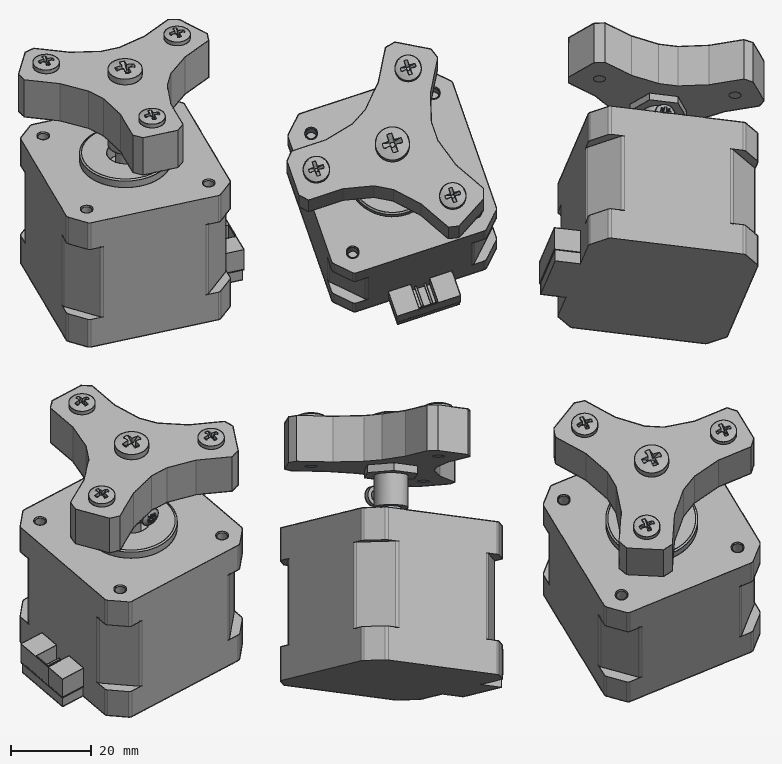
import cadquery as cq
import math


overall_height = 67.6

motor_width = 43.2
motor_height = 38.6
corner_reach = 17.25
relief_reach = 14.0
corner_fillet = 1.15
relief_bottom = 8.6
relief_top = 30.35
pilot_diameter = 22.85
pilot_rim_diameter = 21.85
pilot_top = 40.9
pilot_bevel = 0.3
well_diameter = 9.3
well_depth = 4.05
mount_spacing = 32.2
mount_diameter = 2.65
mount_mouth_diameter = 3.2
mount_depth = 4.05
mount_shift = 0.2
shaft_diameter = 4.95

connector_width = 16.7
connector_top = 9.55
connector_step = 3.25
connector_length = 6.7
connector_setback = 0.3
connector_slot_width = 5.0
pin_width = 0.55
pin_pitch = 2.45
pin_length = 5.4
pin_bottom = 5.4

knob_offset = (-0.1, -0.1, 0)

hub_bore_diameter = 5.2
hub_diameter = 8.5
hub_bottom = 43.55
flange_bottom = 51.6
flange_across_flats = 12.5

knob_bottom = 53.55
knob_top = 65.1
arm_count = 3
arm_tip = 26.1
arm_tip_half_width = 4.6
arm_shoulder = 24.3
arm_half_width = 6.6
arm_root = 15.2
web_distance = 11.1
web_half_length = 2.45
arm_screw_radius = 19.95

centre_head_diameter = 8.5
centre_head_height = 1.75
centre_crown_loss = 0.035
centre_dome = overall_height - knob_top - centre_head_height + centre_crown_loss
centre_shank_diameter = 4.05
centre_recess_length = 5.55
centre_recess_width = 1.3
arm_head_diameter = 6.55
arm_head_height = 1.15
arm_dome = 0.75
arm_shank_diameter = 3.0
arm_recess_length = 4.4
arm_recess_width = 0.9
set_screw_height = 47.5
set_head_inner = 6.3
set_head_diameter = 4.95
set_head_height = 1.3
set_dome = 0.8
set_shank_diameter = 2.8
set_recess_length = 3.1
set_recess_width = 0.7
set_tick_width = 0.2
set_tick_length = 3.0
set_tick_depth = 0.5


def cylinder(diameter, bottom, top, x=0, y=0):
    return cq.Workplane("XY", origin=(x, y, bottom)).circle(diameter / 2).extrude(top - bottom)


def cone(bottom_diameter, top_diameter, bottom, top, x=0, y=0):
    frustum = cq.Solid.makeCone(bottom_diameter / 2, top_diameter / 2, top - bottom, cq.Vector(x, y, bottom))
    return cq.Workplane("XY").add(frustum)


def block(x_size, y_size, bottom, top, x=0, y=0):
    return cq.Workplane("XY", origin=(x, y, bottom)).rect(x_size, y_size).extrude(top - bottom)


def chamfered_prism(reach, bottom, top):
    """Square prism with 45 degree corner chamfers that blend into the faces."""
    prism = block(motor_width, motor_width, bottom, top)
    prism = prism.edges("|Z").chamfer(motor_width / 2 - reach)
    return prism.edges("|Z").fillet(corner_fillet)


def make_connector():
    face = motor_width / 2
    base_length = connector_length - connector_setback
    base_width = connector_width - 2 * connector_setback
    base = block(base_width, base_length, 0, connector_step, y=face + base_length / 2)
    socket = block(
        connector_width, connector_length, connector_step, connector_top, y=face + connector_length / 2
    )
    slot = block(
        connector_slot_width, base_length, connector_step, connector_top, y=face + base_length / 2
    )
    connector = base.union(socket.cut(slot))
    for side in (-1, 1):
        pin = block(
            pin_width, pin_length, pin_bottom, pin_bottom + pin_width,
            x=side * pin_pitch / 2, y=face + pin_length / 2,
        )
        connector = connector.union(pin)
    return connector


def make_mount_hole(x, y):
    bevel = (mount_mouth_diameter - mount_diameter) / 2
    mouth = cone(mount_diameter, mount_mouth_diameter, motor_height - bevel, motor_height, x, y)
    return cylinder(mount_diameter, motor_height - mount_depth, motor_height, x, y).union(mouth)


def make_motor():
    body = chamfered_prism(corner_reach, 0, relief_bottom)
    body = body.union(chamfered_prism(relief_reach, relief_bottom, relief_top))
    body = body.union(chamfered_prism(corner_reach, relief_top, motor_height))

    pilot = cylinder(pilot_diameter, motor_height, pilot_top)
    pilot = pilot.faces(">Z").chamfer(pilot_bevel, (pilot_diameter - pilot_rim_diameter) / 2)
    well_bottom = pilot_top - well_depth
    body = body.union(pilot).cut(cylinder(well_diameter, well_bottom, pilot_top))
    body = body.union(cylinder(shaft_diameter, well_bottom, flange_bottom))

    for x_side in (-1, 1):
        for y_side in (-1, 1):
            x = x_side * mount_spacing / 2 - mount_shift
            y = y_side * mount_spacing / 2 + mount_shift
            body = body.cut(make_mount_hole(x, y))
    return body.union(make_connector())


def make_hub():
    sleeve = cylinder(hub_diameter, hub_bottom, flange_bottom)
    flange_corner_diameter = flange_across_flats / math.cos(math.pi / 6)
    flange = (
        cq.Workplane("XY", origin=(0, 0, flange_bottom))
        .polygon(6, flange_corner_diameter)
        .extrude(knob_bottom - flange_bottom)
        .rotate((0, 0, 0), (0, 0, 1), 30)
    )
    shaft_bore = cylinder(hub_bore_diameter, hub_bottom, flange_bottom)
    screw_bore = cylinder(centre_shank_diameter, flange_bottom, knob_bottom)
    set_bore = (
        cq.Workplane("YZ", origin=(0, 0, set_screw_height))
        .circle(set_shank_diameter / 2)
        .extrude(-hub_diameter)
    )
    return sleeve.union(flange).cut(shaft_bore).cut(screw_bore).cut(set_bore)


def arm_screw_places():
    for arm in range(arm_count):
        angle = 2 * math.pi * arm / arm_count
        yield arm_screw_radius * math.cos(angle), arm_screw_radius * math.sin(angle)


def make_knob():
    half_gap = math.pi / arm_count
    web_x = web_distance * math.cos(half_gap) + web_half_length * math.sin(half_gap)
    web_y = web_distance * math.sin(half_gap) - web_half_length * math.cos(half_gap)
    arm_side = [
        (web_x, web_y),
        (arm_root, arm_half_width),
        (arm_shoulder, arm_half_width),
        (arm_tip, arm_tip_half_width),
    ]
    arm = [(x, -y) for x, y in arm_side] + arm_side[::-1]
    outline = []
    for index in range(arm_count):
        cos, sin = math.cos(2 * half_gap * index), math.sin(2 * half_gap * index)
        outline += [(x * cos - y * sin, x * sin + y * cos) for x, y in arm]
    knob = cq.Workplane("XY", origin=(0, 0, knob_bottom)).polyline(outline).close()
    knob = knob.extrude(knob_top - knob_bottom)
    knob = knob.cut(cylinder(centre_shank_diameter, knob_bottom, knob_top))
    for x, y in arm_screw_places():
        knob = knob.cut(cylinder(arm_shank_diameter, knob_bottom, knob_top, x, y))
    return knob


def make_screw(head_diameter, head_height, dome, shank_diameter, shank_length, recess_length, recess_width):
    """Domed cross-recess screw along Z with the underside of its head on Z = 0."""
    head_radius = head_diameter / 2
    crown = head_height + dome
    dome_radius = (head_radius**2 + dome**2) / (2 * dome)
    mid_radius = head_radius / 2
    mid_height = crown - dome_radius + math.sqrt(dome_radius**2 - mid_radius**2)
    screw = (
        cq.Workplane("XZ")
        .moveTo(0, -shank_length)
        .lineTo(shank_diameter / 2, -shank_length)
        .lineTo(shank_diameter / 2, 0)
        .lineTo(head_radius, 0)
        .lineTo(head_radius, head_height)
        .threePointArc((mid_radius, mid_height), (0, crown))
        .close()
        .revolve(360, (0, 0, 0), (0, 1, 0))
    )
    depth = (recess_length - recess_width) / 2
    bottom = crown - depth
    cross = block(recess_length, recess_width, bottom, crown)
    cross = cross.union(block(recess_width, recess_length, bottom, crown))
    taper = cone(recess_width, recess_length, bottom, crown)
    return screw.cut(cross.intersect(taper))


def make_centre_screw():
    screw = make_screw(
        centre_head_diameter, centre_head_height, centre_dome,
        centre_shank_diameter, knob_top - flange_bottom, centre_recess_length, centre_recess_width,
    )
    return screw.translate((0, 0, knob_top))


def make_arm_screw(x, y):
    screw = make_screw(
        arm_head_diameter, arm_head_height, arm_dome,
        arm_shank_diameter, knob_top - knob_bottom, arm_recess_length, arm_recess_width,
    )
    return screw.translate((x, y, knob_top))


def make_set_screw():
    screw = make_screw(
        set_head_diameter, set_head_height, set_dome,
        set_shank_diameter, set_head_inner, set_recess_length, set_recess_width,
    )
    crown = set_head_height + set_dome
    for angle in (45, 135):
        tick = block(set_tick_length, set_tick_width, crown - set_tick_depth, crown)
        screw = screw.cut(tick.rotate((0, 0, 0), (0, 0, 1), angle))
    screw = screw.rotate((0, 0, 0), (0, 1, 0), -90).translate((-set_head_inner, 0, set_screw_height))
    return screw.cut(cylinder(hub_bore_diameter, hub_bottom, flange_bottom))


motor = make_motor()
hub = make_hub().translate(knob_offset)
knob = make_knob().translate(knob_offset)
centre_screw = make_centre_screw().translate(knob_offset)
arm_screws = [make_arm_screw(x, y).translate(knob_offset) for x, y in arm_screw_places()]
set_screw = make_set_screw().translate(knob_offset)

result = cq.Compound.makeCompound(
    [motor.val(), hub.val(), knob.val(), centre_screw.val(), set_screw.val()]
    + [screw.val() for screw in arm_screws]
)